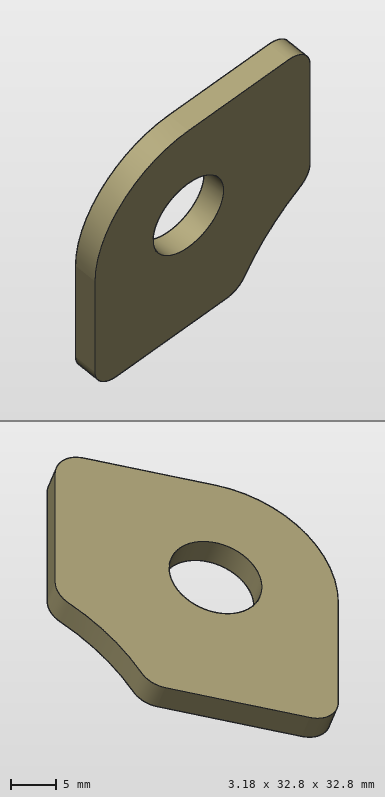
import cadquery as cq
import math

side = 32.77
thickness = 3.18

large_radius = 14.22
hole_diameter = 10.7

corner_radius = 3.28
relief_radius = 26.0
relief_center_offset = 12.12

half = side / 2
hole_center = half - large_radius
relief_center = half + relief_center_offset

relief_reach = math.sqrt(relief_radius**2 - relief_center_offset**2) - relief_center_offset


def sketch_plane():
    """Workplane on the -X face of the plate."""
    return cq.Workplane("YZ").workplane(offset=-thickness / 2)


def cylinder(y, z, radius):
    """Cylinder along X through the full plate thickness."""
    return sketch_plane().center(y, z).circle(radius).extrude(thickness)


def round_corner(body, y, z, radius):
    """Fillet the edge along X that passes through (y, z)."""
    edge = cq.selectors.NearestToPointSelector((0, y, z))
    return body.edges(edge).fillet(radius)


result = sketch_plane().rect(side, side).extrude(thickness)
result = result.cut(cylinder(relief_center, -relief_center, relief_radius))

result = round_corner(result, -half, half, large_radius)
small_corners = [
    (half, half),
    (-half, -half),
    (half, relief_reach - half),
    (half - relief_reach, -half),
]
for corner_y, corner_z in small_corners:
    result = round_corner(result, corner_y, corner_z, corner_radius)

result = result.cut(cylinder(-hole_center, hole_center, hole_diameter / 2))